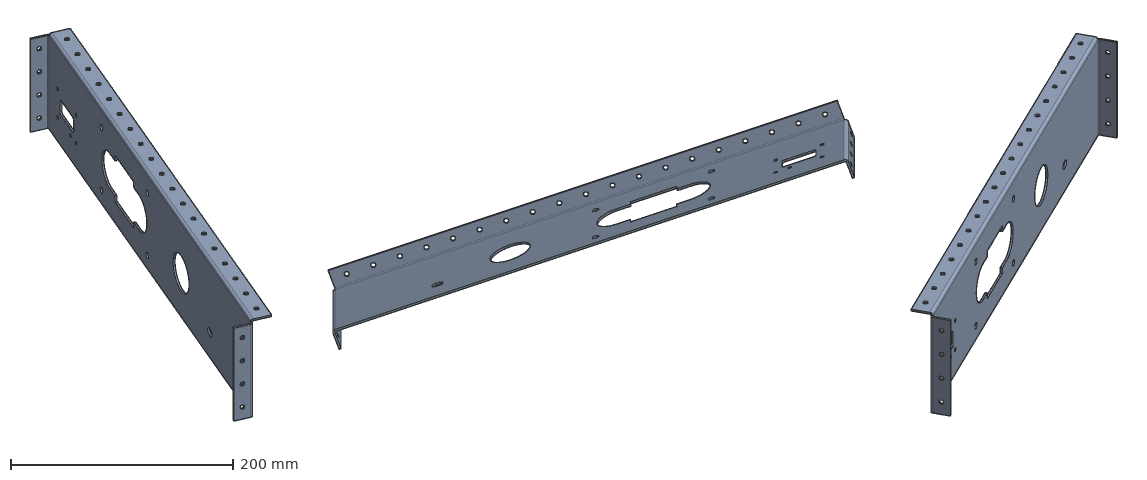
import cadquery as cq

length = 492.0
depth = 38.0
height = 105.0

thickness = 2.0
inner_radius = 1.0
outer_radius = inner_radius + thickness
top_flange_width = 20.5
end_flange_width = depth + thickness - top_flange_width

end_flange_front = thickness - end_flange_width
end_flange_height = height - outer_radius
top_flange_length = length - 2 * outer_radius

flange_hole_diameter = 4.5
top_hole_edge_distance = 9.0
end_hole_edge_distance = 8.5
top_hole_count = 19
top_hole_row_length = 456.5
flange_hole_pitch = top_hole_row_length / (top_hole_count - 1)
end_hole_count = 4
end_hole_lowest = 13.5

window_x = 46.0
window_z = 42.0
window_width = 32.5
window_height = 16.0
window_corner_radius = 2.5
window_screw_spacing_x = 44.5
window_screw_spacing_z = 31.0
window_screw_diameter = 3.5
extra_screw_offset = 9.0

cutout_x = 185.0
cutout_z = 48.5
cutout_width = 108.0
cutout_height = 38.5
cutout_center_width = 44.5
cutout_center_height = 50.5
cutout_bolt_spacing_x = 110.5
cutout_bolt_spacing_z = 68.5
cutout_bolt_diameter = 6.0

opening_x = 321.7
opening_z = 47.5
opening_diameter = 38.5
slot_x = 391.0
slot_z = 28.0
slot_length = 10.5
slot_height = 7.0


def panel_with_end_flanges():
    """U-shaped channel, open towards -Y, with rounded bends."""
    inner_length = length - 2 * thickness
    inner_depth = end_flange_width - thickness
    outer = (
        cq.Workplane("XY")
        .box(length, end_flange_width, end_flange_height, centered=False)
        .translate((0, end_flange_front, 0))
        .edges("|Z and >Y")
        .fillet(outer_radius)
    )
    inner = (
        cq.Workplane("XY")
        .box(inner_length, inner_depth, end_flange_height, centered=False)
        .translate((thickness, end_flange_front, 0))
        .edges("|Z and >Y")
        .fillet(inner_radius)
    )
    return outer.cut(inner)


def top_flange():
    """Rounded bend above the panel and the flat flange running back from it."""
    bend_start = height - outer_radius
    flange_underside = height - thickness
    return (
        cq.Workplane("YZ", origin=(outer_radius, 0, 0))
        .moveTo(0, bend_start)
        .radiusArc((outer_radius, height), outer_radius)
        .lineTo(top_flange_width, height)
        .lineTo(top_flange_width, flange_underside)
        .lineTo(outer_radius, flange_underside)
        .radiusArc((thickness, bend_start), -inner_radius)
        .close()
        .extrude(top_flange_length)
    )


def panel_sketch(x, z):
    """Workplane on the panel's front face, centred at (x, z); extrude(-thickness) goes through."""
    return cq.Workplane("XZ", origin=(x, 0, z))


def window_cuts():
    window = (
        panel_sketch(window_x, window_z)
        .rect(window_width, window_height)
        .extrude(-thickness)
        .edges("|Y")
        .fillet(window_corner_radius)
    )
    screws = (
        panel_sketch(window_x, window_z)
        .rect(window_screw_spacing_x, window_screw_spacing_z, forConstruction=True)
        .vertices()
        .circle(window_screw_diameter / 2)
        .extrude(-thickness)
    )
    extra_screw = (
        panel_sketch(window_x + extra_screw_offset, window_z - window_screw_spacing_z / 2)
        .circle(window_screw_diameter / 2)
        .extrude(-thickness)
    )
    return window.union(screws).union(extra_screw)


def large_cutout_cuts():
    center = panel_sketch(cutout_x, cutout_z)
    rounded = center.slot2D(cutout_width, cutout_height).extrude(-thickness)
    middle = center.rect(cutout_center_width, cutout_center_height).extrude(-thickness)
    bolts = (
        center.rect(cutout_bolt_spacing_x, cutout_bolt_spacing_z, forConstruction=True)
        .vertices()
        .circle(cutout_bolt_diameter / 2)
        .extrude(-thickness)
    )
    return rounded.union(middle).union(bolts)


def opening_and_slot_cuts():
    opening = panel_sketch(opening_x, opening_z).circle(opening_diameter / 2).extrude(-thickness)
    slot = panel_sketch(slot_x, slot_z).slot2D(slot_length, slot_height).extrude(-thickness)
    return opening.union(slot)


def top_flange_hole_cuts():
    first_x = (length - top_hole_row_length) / 2
    hole_y = top_flange_width - top_hole_edge_distance
    points = [(first_x + i * flange_hole_pitch, hole_y) for i in range(top_hole_count)]
    return (
        cq.Workplane("XY", origin=(0, 0, height - thickness))
        .pushPoints(points)
        .circle(flange_hole_diameter / 2)
        .extrude(thickness)
    )


def end_flange_hole_cuts():
    """Holes drilled straight through both end flanges."""
    hole_y = end_flange_front + end_hole_edge_distance
    points = [(hole_y, end_hole_lowest + i * flange_hole_pitch) for i in range(end_hole_count)]
    return (
        cq.Workplane("YZ")
        .pushPoints(points)
        .circle(flange_hole_diameter / 2)
        .extrude(length)
    )


result = panel_with_end_flanges().union(top_flange())
for cuts in (
    window_cuts(),
    large_cutout_cuts(),
    opening_and_slot_cuts(),
    top_flange_hole_cuts(),
    end_flange_hole_cuts(),
):
    result = result.cut(cuts)